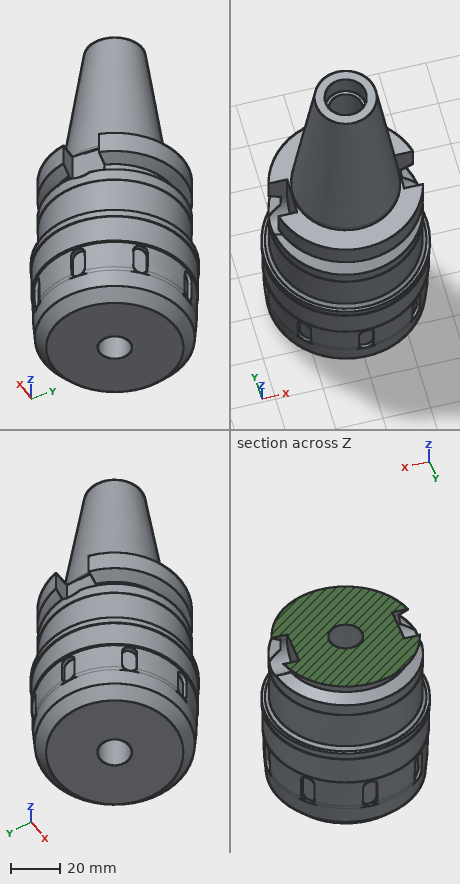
import cadquery as cq

total_height = 155.4
gauge_height = 90.0
flange_top = 88.1
collar_base = 63.1
body_base = 45.8
rim_top = 44.5
rim_base = 41.2
nut_top = 28.3
nut_chamfer_base = 27.8
nut_band_base = 14.8
nut_step = 13.0
nose_chamfer_top = 5.1

gauge_radius = 22.2
taper_ratio = 7 / 48
flange_radius = 31.5
body_radius = 31.4
groove_radius = 26.5
rim_radius = 34.3
rim_chamfer_radius = 33.0
sleeve_radius = 34.0
nut_radius = 33.7
nut_band_radius = 33.4
nut_tail_radius = 33.3
nose_corner_radius = 32.6
nose_radius = 28.0

groove_center = 73.5
groove_floor_width = 4.2
groove_mouth_width = 9.8

bore_radius = 7.0
counterbore_radius = 8.5
counterbore_depth = 9.0

drive_slot_count = 2
drive_slot_width = 16.2
drive_slot_floor = 22.5
drive_slot_bottom = 67.3

spanner_slot_count = 8
spanner_slot_width = 6.2
spanner_slot_bottom = nut_step
spanner_slot_height = 14.0
spanner_slot_floor = 31.7

cut_reach = rim_radius + 1.5


def turned_body():
    """Nut, body, flange and taper as one revolved profile."""
    taper_top_radius = gauge_radius - (total_height - gauge_height) * taper_ratio
    profile = [
        (0, 0),
        (nose_radius, 0),
        (nose_corner_radius, nose_chamfer_top),
        (nut_tail_radius, nut_step),
        (nut_band_radius, nut_band_base),
        (nut_radius, nut_chamfer_base),
        (sleeve_radius, nut_top),
        (sleeve_radius, rim_base),
        (rim_radius, rim_base),
        (rim_radius, rim_top),
        (rim_chamfer_radius, rim_top),
        (body_radius, body_base),
        (body_radius, collar_base),
        (flange_radius, collar_base),
        (flange_radius, groove_center - groove_mouth_width / 2),
        (groove_radius, groove_center - groove_floor_width / 2),
        (groove_radius, groove_center + groove_floor_width / 2),
        (flange_radius, groove_center + groove_mouth_width / 2),
        (flange_radius, flange_top),
        (gauge_radius, flange_top),
        (gauge_radius, gauge_height),
        (taper_top_radius, total_height),
        (0, total_height),
    ]
    return cq.Workplane("XZ").polyline(profile).close().revolve(360, (0, 0), (0, 1))


def stepped_bore():
    """Through bore with a wider counterbore at the small end of the taper."""
    bore = cq.Workplane("XY").circle(bore_radius).extrude(total_height)
    counterbore = (
        cq.Workplane("XY")
        .workplane(offset=total_height - counterbore_depth)
        .circle(counterbore_radius)
        .extrude(counterbore_depth)
    )
    return bore.union(counterbore)


def drive_slot():
    """Slot on the +X side, open at the flange top and rounded at the bottom."""
    half_width = drive_slot_width / 2
    arc_height = drive_slot_bottom + half_width
    return (
        cq.Workplane("YZ")
        .workplane(offset=drive_slot_floor)
        .moveTo(-half_width, flange_top)
        .lineTo(-half_width, arc_height)
        .threePointArc((0, drive_slot_bottom), (half_width, arc_height))
        .lineTo(half_width, flange_top)
        .close()
        .extrude(cut_reach - drive_slot_floor)
    )


def spanner_slot():
    """Round-ended upright slot on the +X side of the nut."""
    return (
        cq.Workplane("YZ")
        .workplane(offset=spanner_slot_floor)
        .center(0, spanner_slot_bottom + spanner_slot_height / 2)
        .slot2D(spanner_slot_height, spanner_slot_width, 90)
        .extrude(cut_reach - spanner_slot_floor)
    )


def around_axis(shape, count):
    """Equally spaced copies of a shape around the Z axis."""
    return [shape.rotate((0, 0, 0), (0, 0, 1), 360 / count * i) for i in range(count)]


result = turned_body().cut(stepped_bore())
cutters = around_axis(drive_slot(), drive_slot_count)
cutters += around_axis(spanner_slot(), spanner_slot_count)
for slot in cutters:
    result = result.cut(slot)